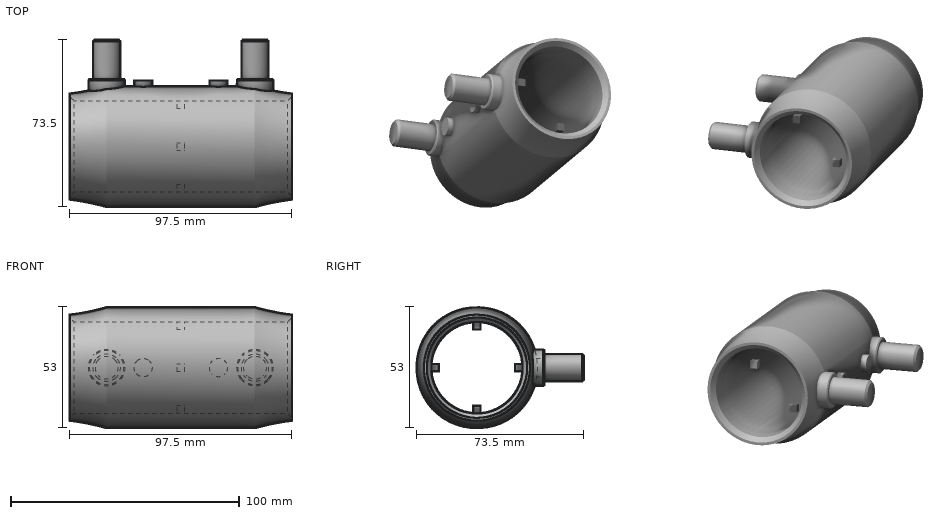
import cadquery as cq

SLEEVE_LENGTH = 97.5
BODY_LENGTH = 65.0
BODY_DIAMETER = 53.0
END_DIAMETER = 46.5
BORE_DIAMETER = 40.0
NECK_CURVE_RADIUS = 100.0
MOUTH_CHAMFER_RADIAL = 2.0
MOUTH_CHAMFER_AXIAL = 2.0

TERMINAL_X = 32.5
TERMINAL_TIP_Y = 47.0
PIN_DIAMETER = 12.0
PIN_CHAMFER = 1.0
COLLAR_DIAMETER = 16.0
COLLAR_TOP_Y = 29.5
COLLAR_CHAMFER = 0.5

BOSS_X = 16.5
BOSS_DIAMETER = 8.0
BOSS_TOP_Y = 29.0

STOP_COUNT = 4
STOP_SIZE = BORE_DIAMETER / 12

HALF_LENGTH = SLEEVE_LENGTH / 2
HALF_BODY = BODY_LENGTH / 2
BODY_RADIUS = BODY_DIAMETER / 2
END_RADIUS = END_DIAMETER / 2
BORE_RADIUS = BORE_DIAMETER / 2
WALL_MID_RADIUS = (BODY_RADIUS + BORE_RADIUS) / 2


def make_sleeve():
    """Revolve the wall section about X; the necks are shallow concave arcs."""
    mouth_radius = BORE_RADIUS + MOUTH_CHAMFER_RADIAL
    bore_end_x = HALF_LENGTH - MOUTH_CHAMFER_AXIAL
    section = (
        cq.Workplane("XY")
        .moveTo(-bore_end_x, BORE_RADIUS)
        .lineTo(-HALF_LENGTH, mouth_radius)
        .lineTo(-HALF_LENGTH, END_RADIUS)
        .radiusArc((-HALF_BODY, BODY_RADIUS), -NECK_CURVE_RADIUS)
        .lineTo(HALF_BODY, BODY_RADIUS)
        .radiusArc((HALF_LENGTH, END_RADIUS), -NECK_CURVE_RADIUS)
        .lineTo(HALF_LENGTH, mouth_radius)
        .lineTo(bore_end_x, BORE_RADIUS)
        .close()
    )
    return section.revolve(360, (0, 0, 0), (1, 0, 0))


def make_post(x, diameter, top_y, chamfer=0.0):
    """Round post along +Y, rooted inside the sleeve wall so that it fuses."""
    root = cq.Workplane("XZ", origin=(x, WALL_MID_RADIUS, 0))
    post = root.circle(diameter / 2).extrude(WALL_MID_RADIUS - top_y)
    if chamfer:
        post = post.faces(">Y").chamfer(chamfer)
    return post


def make_terminal(x):
    """Collar with a longer contact pin on the same axis."""
    collar = make_post(x, COLLAR_DIAMETER, COLLAR_TOP_Y, COLLAR_CHAMFER)
    pin = make_post(x, PIN_DIAMETER, TERMINAL_TIP_Y, PIN_CHAMFER)
    return collar.union(pin)


def make_stop(angle):
    """Block rooted in the wall and standing STOP_SIZE into the bore."""
    inner_radius = BORE_RADIUS - STOP_SIZE
    block = cq.Workplane("XY").box(STOP_SIZE, STOP_SIZE, WALL_MID_RADIUS - inner_radius)
    block = block.translate((0, 0, (WALL_MID_RADIUS + inner_radius) / 2))
    return block.rotate((0, 0, 0), (1, 0, 0), angle)


result = make_sleeve()
for side in (-1, 1):
    result = result.union(make_terminal(side * TERMINAL_X))
    result = result.union(make_post(side * BOSS_X, BOSS_DIAMETER, BOSS_TOP_Y))
for index in range(STOP_COUNT):
    result = result.union(make_stop(index * 360 / STOP_COUNT))